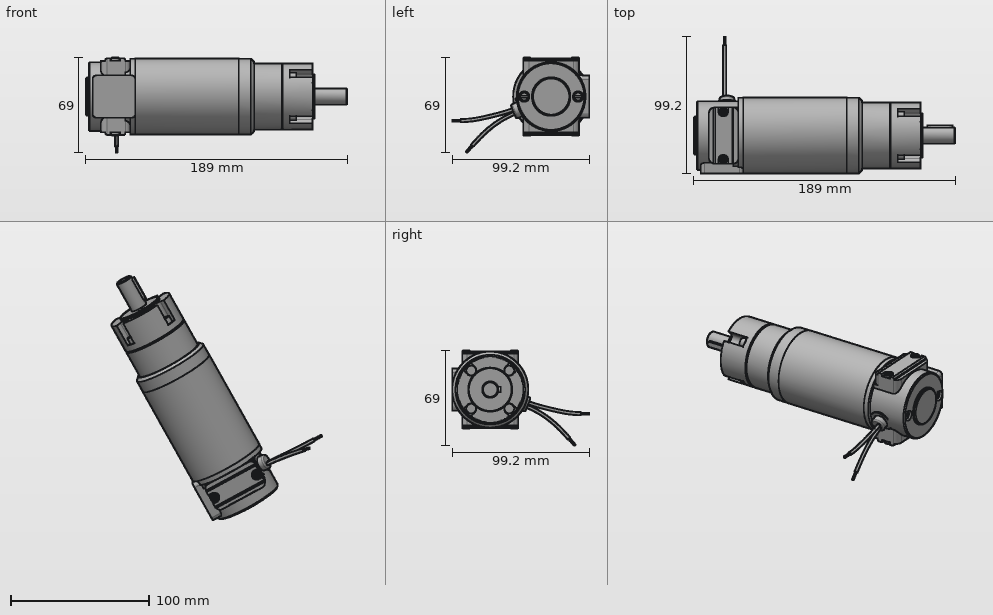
import cadquery as cq
import math


LENGTH = 189.0
CAP_FACE = 1.9
FLANGE_START = 32.0
BOX_END = 35.7
COLLAR_START = 110.5
MOTOR_END = 121.5
GROOVE_START = 141.4
GROOVE_WIDTH = 1.0
GEARBOX_END = 163.9
PILOT_END = 165.5

BOSS_DIAMETER = 28.0
BOSS_CHAMFER = 1.0
CAP_DIAMETER = 49.9
CAP_CHAMFER = 1.0
TUBE_DIAMETER = 55.2
END_RING_DIAMETER = 55.0
COLLAR_CHAMFER = 2.3
GEARBOX_DIAMETER = 48.0
GROOVE_DEPTH = 0.5
PILOT_DIAMETER = 32.0
PILOT_CHAMFER = 0.5
SHAFT_DIAMETER = 12.0
SHAFT_CHAMFER = 0.8

BLOCK_START = 10.8
BLOCK_WIDTH = 40.6
BLOCK_HALF_HEIGHT = 25.9
BLOCK_START_CORNER = 4.2
BLOCK_END_CORNER = 3.4
COVER_START = 13.8
COVER_END = 28.5
COVER_HALF_HEIGHT = 27.8
COVER_CHAMFER_HEIGHT = 1.0
COVER_START_CHAMFER = 1.5
COVER_END_CHAMFER = 1.0
SHOULDER_RADIUS = 26.8
NOTCH_DIAMETER = 7.0
COVER_SCREW_DIAMETER = 5.7
COVER_SCREW_CHAMFER = 0.8
COVER_SCREW_TOP = 28.4
COVER_SCREW_OFFSET = 17.4
CROSS_LENGTH = 3.2
CROSS_WIDTH = 1.0
CROSS_DEPTH = 1.1

BOX_START = 4.7
BOX_HEIGHT = 30.6
BOX_CORNER = 2.8

CAP_SCREW_OFFSET = 19.5
CAP_HOLE_DIAMETER = 7.5
CAP_HOLE_DEPTH = 3.8
CAP_SCREW_DIAMETER = 5.7
CAP_SCREW_HEIGHT = 2.3
SCREW_SLOT_WIDTH = 1.5
SCREW_SLOT_DEPTH = 1.0

CHANNEL_START = 147.2
CHANNEL_WIDTH = 7.5
CHANNEL_RADIUS = 19.5
CHANNEL_HEAD_DIAMETER = 7.0
CHANNEL_HEAD_LENGTH = 4.7

KEY_START = 168.5
KEY_LENGTH = 18.3
KEY_WIDTH = 4.0
KEY_TOP = 7.5

GROMMET_X = 23.8
GROMMET_ANGLE = -22.0
GROMMET_DIAMETER = 11.0
GROMMET_TOP = 29.5
GROMMET_FILLET = 1.1
PAD_DIAMETER = 16.8
PAD_TOP = 24.5
WIRE_X = 22.1
WIRE_DIAMETER = 2.5
STRAND_DIAMETER = 1.5
STRAND_LENGTH = 6.2
UPPER_WIRE_PATH = [(25.5, -8.7), (45.4, -14.5), (65.4, -17.4)]
LOWER_WIRE_PATH = [(25.5, -11.7), (42.5, -21.4), (57.0, -35.5)]
UPPER_WIRE_END = (1.0, 0.0)
LOWER_WIRE_END = (0.66, -0.75)


def rod(start, end, diameter, y=0.0, z=0.0):
    """Cylinder parallel to the motor axis."""
    return cq.Workplane("YZ", origin=(start, y, z)).circle(diameter / 2).extrude(end - start)


def block(start, end, y_low, y_high, z_low, z_high):
    """Box given by its limits along X, Y and Z."""
    return cq.Workplane("XY").box(
        end - start, y_high - y_low, z_high - z_low, centered=False
    ).translate((start, y_low, z_low))


def turned_sections():
    boss = rod(0, CAP_FACE, BOSS_DIAMETER).faces("<X").chamfer(BOSS_CHAMFER)
    cap = rod(CAP_FACE, FLANGE_START, CAP_DIAMETER).faces("<X").chamfer(CAP_CHAMFER)
    flange = rod(FLANGE_START, BOX_END, END_RING_DIAMETER)
    tube = rod(BOX_END, COLLAR_START, TUBE_DIAMETER)
    collar = rod(COLLAR_START, MOTOR_END, END_RING_DIAMETER).faces(">X").chamfer(COLLAR_CHAMFER)
    groove_end = GROOVE_START + GROOVE_WIDTH
    gearbox = rod(MOTOR_END, GROOVE_START, GEARBOX_DIAMETER)
    gearbox = gearbox.union(rod(GROOVE_START, groove_end, GEARBOX_DIAMETER - 2 * GROOVE_DEPTH))
    gearbox = gearbox.union(rod(groove_end, GEARBOX_END, GEARBOX_DIAMETER))
    pilot = rod(GEARBOX_END, PILOT_END, PILOT_DIAMETER).faces(">X").chamfer(PILOT_CHAMFER)
    shaft = rod(PILOT_END, LENGTH, SHAFT_DIAMETER).faces(">X").chamfer(SHAFT_CHAMFER)
    sections = boss
    for section in (cap, flange, tube, collar, gearbox, pilot, shaft):
        sections = sections.union(section)
    return sections


def brush_holder():
    half_width = BLOCK_WIDTH / 2
    outline = block(
        BLOCK_START, FLANGE_START, -half_width, half_width, -COVER_HALF_HEIGHT, COVER_HALF_HEIGHT
    )
    outline = outline.edges("|Z and <X").fillet(BLOCK_START_CORNER)
    outline = outline.edges("|Z and >X").fillet(BLOCK_END_CORNER)
    holder = block(
        BLOCK_START, FLANGE_START, -half_width, half_width, -BLOCK_HALF_HEIGHT, BLOCK_HALF_HEIGHT
    )
    chamfer_base = COVER_HALF_HEIGHT - COVER_CHAMFER_HEIGHT
    cover = cq.Workplane("XZ").polyline(
        [
            (COVER_START, 0),
            (COVER_START, chamfer_base),
            (COVER_START + COVER_START_CHAMFER, COVER_HALF_HEIGHT),
            (COVER_END - COVER_END_CHAMFER, COVER_HALF_HEIGHT),
            (COVER_END, chamfer_base),
            (COVER_END, 0),
        ]
    ).close().extrude(half_width, both=True)
    holder = holder.union(cover).union(cover.mirror("XY")).intersect(outline)
    shoulder = rod(COVER_END, FLANGE_START, 2 * SHOULDER_RADIUS).intersect(
        block(
            COVER_END, FLANGE_START, -SHOULDER_RADIUS, half_width, -BLOCK_HALF_HEIGHT, BLOCK_HALF_HEIGHT
        )
    )
    return holder.union(shoulder)


def upper_cover_screw(x, y, side):
    """Notch and screw of the +Z cover. The notch opens towards the given side along Y."""
    cover_height = COVER_HALF_HEIGHT - BLOCK_HALF_HEIGHT
    reach = BLOCK_WIDTH / 2 - abs(y)
    floor = cq.Workplane("XY", origin=(x, y, BLOCK_HALF_HEIGHT))
    notch = floor.circle(NOTCH_DIAMETER / 2).extrude(cover_height)
    notch = notch.union(
        floor.center(0, side * reach / 2).rect(NOTCH_DIAMETER, reach).extrude(cover_height)
    )
    head = floor.circle(COVER_SCREW_DIAMETER / 2).extrude(COVER_SCREW_TOP - BLOCK_HALF_HEIGHT)
    head = head.faces(">Z").chamfer(COVER_SCREW_CHAMFER)
    recess = cq.Workplane("XY", origin=(x, y, COVER_SCREW_TOP - CROSS_DEPTH))
    for size in ((CROSS_LENGTH, CROSS_WIDTH), (CROSS_WIDTH, CROSS_LENGTH)):
        head = head.cut(recess.rect(*size).extrude(CROSS_DEPTH))
    return notch, head


def add_cover_screws(part):
    x = (COVER_START + COVER_END) / 2
    for side in (-1, 1):
        notch, head = upper_cover_screw(x, side * COVER_SCREW_OFFSET, side)
        part = part.cut(notch).union(head)
        part = part.cut(notch.mirror("XY")).union(head.mirror("XY"))
    return part


def terminal_box():
    box = block(BOX_START, BOX_END, -TUBE_DIAMETER / 2, 0, -BOX_HEIGHT / 2, BOX_HEIGHT / 2)
    return box.edges("|Y").fillet(BOX_CORNER)


def add_cap_screws(part):
    floor = CAP_FACE + CAP_HOLE_DEPTH
    head_face = floor - CAP_SCREW_HEIGHT
    half_slot = SCREW_SLOT_WIDTH / 2
    for y in (-CAP_SCREW_OFFSET, CAP_SCREW_OFFSET):
        half_head = CAP_SCREW_DIAMETER / 2
        slot = block(
            head_face, head_face + SCREW_SLOT_DEPTH, y - half_head, y + half_head, -half_slot, half_slot
        )
        head = rod(head_face, floor, CAP_SCREW_DIAMETER, y).cut(slot)
        part = part.cut(rod(CAP_FACE, floor, CAP_HOLE_DIAMETER, y)).union(head)
    return part


def add_mounting_channels(part):
    half_width = CHANNEL_WIDTH / 2
    channel = rod(CHANNEL_START, GEARBOX_END, CHANNEL_WIDTH, CHANNEL_RADIUS)
    channel = channel.union(
        block(
            CHANNEL_START, GEARBOX_END, CHANNEL_RADIUS, GEARBOX_DIAMETER / 2, -half_width, half_width
        )
    )
    head_end = CHANNEL_START + CHANNEL_HEAD_LENGTH
    head = rod(CHANNEL_START, head_end, CHANNEL_HEAD_DIAMETER, CHANNEL_RADIUS)
    for angle in (45, 135, 225, 315):
        part = part.cut(channel.rotate((0, 0, 0), (1, 0, 0), angle))
        part = part.union(head.rotate((0, 0, 0), (1, 0, 0), angle))
    return part


def shaft_key():
    key = cq.Workplane("XZ", origin=(KEY_START + KEY_LENGTH / 2, 0, 0))
    return key.slot2D(KEY_LENGTH, KEY_WIDTH).extrude(-KEY_TOP)


def grommet():
    base = cq.Workplane("XZ", origin=(GROMMET_X, 0, 0))
    pad = base.circle(PAD_DIAMETER / 2).extrude(-PAD_TOP)
    pad = pad.intersect(block(0, FLANGE_START, 0, PAD_TOP, -PAD_DIAMETER, PAD_DIAMETER))
    body = base.circle(GROMMET_DIAMETER / 2).extrude(-GROMMET_TOP)
    body = body.faces(">Y").fillet(GROMMET_FILLET)
    return pad.union(body).rotate((0, 0, 0), (1, 0, 0), GROMMET_ANGLE)


def wire(path, end_direction):
    """Insulated wire along a smooth curve, with a straight bare strand at its end."""
    points = [cq.Vector(WIRE_X, y, z) for y, z in path]
    end_tangent = cq.Vector(0, *end_direction)
    radial = math.radians(GROMMET_ANGLE)
    start_tangent = cq.Vector(0, math.cos(radial), math.sin(radial))
    curve = cq.Edge.makeSpline(points, tangents=[start_tangent, end_tangent])
    profile = cq.Workplane(cq.Plane(points[0], (1, 0, 0), start_tangent)).circle(WIRE_DIAMETER / 2)
    insulation = profile.sweep(cq.Workplane(cq.Wire.assembleEdges([curve])))
    strand = cq.Workplane(cq.Plane(points[-1], (1, 0, 0), end_tangent))
    return insulation.union(strand.circle(STRAND_DIAMETER / 2).extrude(STRAND_LENGTH))


result = turned_sections().union(brush_holder()).union(terminal_box())
result = add_cover_screws(result)
result = add_cap_screws(result)
result = add_mounting_channels(result)
result = result.union(shaft_key()).union(grommet())
result = result.union(wire(UPPER_WIRE_PATH, UPPER_WIRE_END))
result = result.union(wire(LOWER_WIRE_PATH, LOWER_WIRE_END))